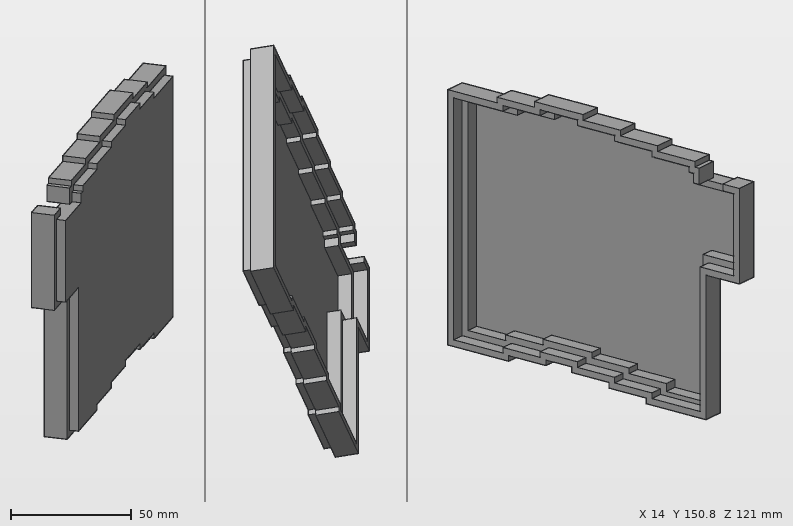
import cadquery as cq


wall = 3.0
last_column_ledge = 2.0
rim_depth = 10.0
ledge_x = 6.0
overall_depth = 14.0
floor_thickness = 2.0
floor_x = overall_depth - floor_thickness

column_pitch = 19.25
first_column_width = 25.5
last_column_width = 25.0
stagger = 2.5
column_levels = [0, 1, 2, 1, 0, -1]
column_height = 107.5

corner_step_width = 2.25

tab_end = 144.75
tab_top_drop = 9.25
tab_height = 36.5

opening_width = 12.25

boundaries = [-first_column_width - i * column_pitch for i in range(len(column_levels))]
main_side_y = boundaries[-2] - last_column_width
corner_step_y = boundaries[-1] - corner_step_width


def recess_outline():
    """Points (y, z) of the wide recess, starting at its upper +Y corner."""
    upper_starts = [0.0] + boundaries[:-1]
    upper = []
    for start, end, level in zip(upper_starts, boundaries, column_levels):
        upper.append((start, level * stagger))
        upper.append((end, level * stagger))

    corner_step_z = (column_levels[-1] - 1) * stagger
    tab_bottom_z = -tab_top_drop - tab_height
    side = [
        (boundaries[-1], corner_step_z),
        (corner_step_y, corner_step_z),
        (corner_step_y, -tab_top_drop),
        (-tab_end, -tab_top_drop),
        (-tab_end, tab_bottom_z),
        (main_side_y, tab_bottom_z),
    ]

    lower_ends = boundaries[:-1] + [main_side_y]
    lower = []
    for start, end, level in zip(upper_starts, lower_ends, column_levels):
        lower.append((start, level * stagger - column_height))
        lower.append((end, level * stagger - column_height))
    return upper + side + lower[::-1]


def slab(points, offset, x_start, x_end):
    """Extrude the outline, grown by offset with sharp corners, from x_start to x_end."""
    sketch = cq.Workplane("YZ", origin=(x_start, 0, 0)).polyline(points).close()
    if offset:
        sketch = sketch.offset2D(offset, "intersection")
    return sketch.extrude(x_end - x_start)


def rim_opening():
    """Cutter that removes the rim wall between the corner step and the end of the tab."""
    y_start = corner_step_y - wall
    cutter = cq.Workplane("XY").box(rim_depth, opening_width, wall, centered=False)
    return cutter.translate((0, y_start - opening_width, -tab_top_drop))


def last_column_relief():
    """Cutter that narrows the lower ledge of the last column."""
    y_start = main_side_y + wall
    y_end = boundaries[-2] - wall
    ledge_bottom_z = column_levels[-1] * stagger - column_height
    cutter = cq.Workplane("XY").box(
        floor_x - ledge_x, y_end - y_start, wall - last_column_ledge, centered=False
    )
    return cutter.translate((ledge_x, y_start, ledge_bottom_z + last_column_ledge))


outline = recess_outline()
rim = slab(outline, wall, 0, rim_depth)
body = slab(outline, 0, ledge_x, overall_depth)
wide_recess = slab(outline, 0, 0, ledge_x)
deep_recess = slab(outline, -wall, ledge_x, floor_x)

result = rim.cut(rim_opening()).union(body)
result = result.cut(wide_recess).cut(deep_recess).cut(last_column_relief())